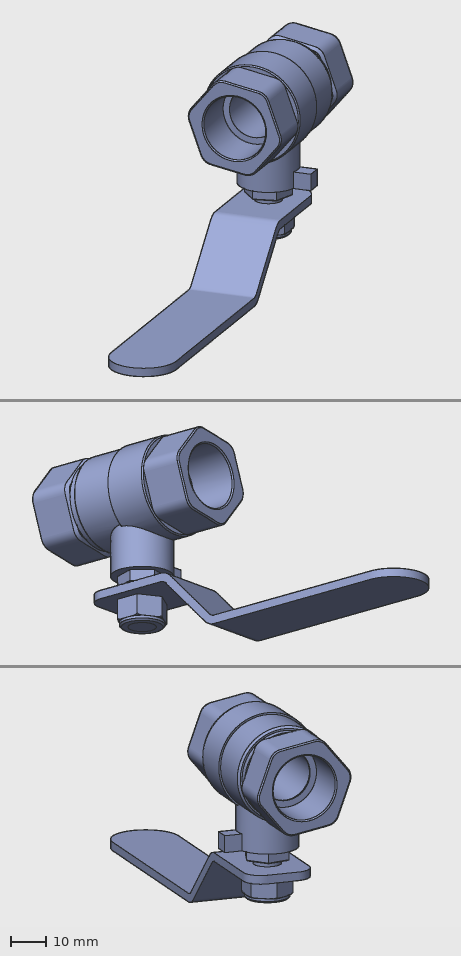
import cadquery as cq
import math


OVERALL_LENGTH = 134.2
EDGE_CHAMFER = 0.4

PORT_DIAMETER = 18.9
PORT_DEPTH = 15.0
BORE_DIAMETER = 15.0

HEX_ACROSS_FLATS = 26.0
HEX_CORNER_RADIUS = 4.0
HEX_TILT = 9.8
CAP_HEX_INNER_CHAMFER = 1.0

CAP_END_Y = 29.2
CAP_HEX_INNER_Y = 15.8
JOINT_Y = 13.7
FLANGE_FRONT_Y = -13.0
BODY_FRONT_Y = -26.0

CAP_NECK_DIAMETER = 26.0
BARREL_DIAMETER = 28.5
BARREL_REAR_CHAMFER = 0.7
FLANGE_DIAMETER = 29.5

BOSS_DIAMETER = 18.0
BOSS_BOTTOM_Z = -24.4
LUG_REACH = 14.0
LUG_SIZE = 5.0

GLAND_ACROSS_FLATS = 12.1
GLAND_HEIGHT = 3.5
GLAND_TILT = 11.5
GLAND_CHAMFER = 0.3

STEM_DIAMETER = 8.0
STEM_TOP_Z = -12.1

LEVER_TOP_Z = -29.5
LEVER_THICKNESS = 2.5
LEVER_WIDTH = 20.0
LEVER_REAR_Y = 12.2
LEVER_TIP_Y = CAP_END_Y - OVERALL_LENGTH
LEVER_DROP = 17.0
LEVER_BEND_Y = -17.8
LEVER_BEND_ANGLE = 45.0
LEVER_INNER_BEND_RADIUS = 2.5
LEVER_REAR_CORNER_RADIUS = 5.2

NUT_ACROSS_FLATS = 12.9
NUT_HEX_HEIGHT = 6.2
NUT_CORNER_CHAMFER = 0.4
COLLAR_DIAMETER = 13.0
COLLAR_HEIGHT = 1.3
COLLAR_CHAMFER = 0.5

GLAND_BOTTOM_Z = BOSS_BOTTOM_Z - GLAND_HEIGHT
LEVER_BOTTOM_Z = LEVER_TOP_Z - LEVER_THICKNESS
NUT_HEX_BOTTOM_Z = LEVER_BOTTOM_Z - NUT_HEX_HEIGHT
NUT_BOTTOM_Z = NUT_HEX_BOTTOM_Z - COLLAR_HEIGHT


def across_corners(across_flats):
    return across_flats / math.cos(math.radians(30))


def cylinder_y(diameter, start_y, end_y):
    """Cylinder around the Y axis; start_y is less than end_y."""
    return cq.Workplane("XZ", origin=(0, end_y, 0)).circle(diameter / 2).extrude(end_y - start_y)


def cylinder_z(diameter, bottom_z, top_z):
    """Cylinder around the Z axis."""
    return cq.Workplane("XY", origin=(0, 0, bottom_z)).circle(diameter / 2).extrude(top_z - bottom_z)


def end_hex(start_y, end_y):
    """Round-cornered hexagon along Y, tilted about its own axis."""
    return (
        cq.Workplane("XZ", origin=(0, end_y, 0))
        .polygon(6, across_corners(HEX_ACROSS_FLATS))
        .extrude(end_y - start_y)
        .edges("|Y")
        .fillet(HEX_CORNER_RADIUS)
        .rotate((0, 0, 0), (0, 1, 0), HEX_TILT)
    )


def upright_hex(across_flats, bottom_z, top_z):
    """Hexagon along Z with two corners on the X axis."""
    return (
        cq.Workplane("XY", origin=(0, 0, bottom_z))
        .polygon(6, across_corners(across_flats))
        .extrude(top_z - bottom_z)
    )


def stem_hole(part):
    """Cut the hole that the stem fills."""
    return part.cut(cylinder_z(STEM_DIAMETER, NUT_BOTTOM_Z, STEM_TOP_Z))


def chamfer_port_rim(part, end_face):
    """Chamfer the port opening; the hexagon's own rounded corners have smaller radii."""
    rim = cq.selectors.RadiusNthSelector(-1)
    return part.faces(end_face).edges("%CIRCLE").edges(rim).chamfer(EDGE_CHAMFER)


def make_body():
    barrel = cylinder_y(BARREL_DIAMETER, 0, JOINT_Y).faces(">Y").chamfer(BARREL_REAR_CHAMFER)
    flange = cylinder_y(FLANGE_DIAMETER, FLANGE_FRONT_Y, 0).faces("<Y").chamfer(EDGE_CHAMFER)
    front_hex = end_hex(BODY_FRONT_Y, FLANGE_FRONT_Y).faces("<Y").chamfer(EDGE_CHAMFER)
    boss = cylinder_z(BOSS_DIAMETER, BOSS_BOTTOM_Z, 0)
    lug = cq.Workplane("XY", origin=(0, 0, BOSS_BOTTOM_Z)).box(
        LUG_REACH, LUG_SIZE, LUG_SIZE, centered=(False, True, False)
    )
    body = barrel.union(flange).union(front_hex).union(boss).union(lug)
    body = body.cut(cylinder_y(BORE_DIAMETER, BODY_FRONT_Y, JOINT_Y))
    body = body.cut(cylinder_y(PORT_DIAMETER, BODY_FRONT_Y, BODY_FRONT_Y + PORT_DEPTH))
    return stem_hole(chamfer_port_rim(body, "<Y"))


def make_end_cap():
    neck = cylinder_y(CAP_NECK_DIAMETER, JOINT_Y, CAP_HEX_INNER_Y)
    rear_hex = (
        end_hex(CAP_HEX_INNER_Y, CAP_END_Y)
        .faces("<Y")
        .chamfer(CAP_HEX_INNER_CHAMFER)
        .faces(">Y")
        .chamfer(EDGE_CHAMFER)
    )
    cap = neck.union(rear_hex)
    cap = cap.cut(cylinder_y(BORE_DIAMETER, JOINT_Y, CAP_END_Y))
    cap = cap.cut(cylinder_y(PORT_DIAMETER, CAP_END_Y - PORT_DEPTH, CAP_END_Y))
    return chamfer_port_rim(cap, ">Y")


def make_gland_nut():
    hexagon = (
        upright_hex(GLAND_ACROSS_FLATS, GLAND_BOTTOM_Z, BOSS_BOTTOM_Z)
        .faces("<Z")
        .chamfer(GLAND_CHAMFER)
        .rotate((0, 0, 0), (0, 0, 1), GLAND_TILT)
    )
    return stem_hole(hexagon)


def make_stem():
    return cylinder_z(STEM_DIAMETER, NUT_BOTTOM_Z, STEM_TOP_Z)


def make_lever():
    """Strip with two opposite bends that lower the grip below the nut."""
    slope_run = LEVER_DROP / math.tan(math.radians(LEVER_BEND_ANGLE))
    miter_shift = LEVER_THICKNESS * math.tan(math.radians(LEVER_BEND_ANGLE / 2))
    outer_bend_radius = LEVER_INNER_BEND_RADIUS + LEVER_THICKNESS
    grip_bend_y = LEVER_BEND_Y - slope_run
    grip_top_z = LEVER_TOP_Z - LEVER_DROP
    grip_bottom_z = grip_top_z - LEVER_THICKNESS

    upper_outer = (LEVER_BEND_Y, LEVER_TOP_Z)
    upper_inner = (LEVER_BEND_Y + miter_shift, LEVER_BOTTOM_Z)
    lower_inner = (grip_bend_y, grip_top_z)
    lower_outer = (grip_bend_y + miter_shift, grip_bottom_z)

    def round_bend(strip, corner, radius):
        near = cq.selectors.NearestToPointSelector((0, *corner))
        return strip.edges("|X").edges(near).fillet(radius)

    strip = (
        cq.Workplane("YZ")
        .polyline(
            [
                (LEVER_REAR_Y, LEVER_TOP_Z),
                upper_outer,
                lower_inner,
                (LEVER_TIP_Y, grip_top_z),
                (LEVER_TIP_Y, grip_bottom_z),
                lower_outer,
                upper_inner,
                (LEVER_REAR_Y, LEVER_BOTTOM_Z),
            ]
        )
        .close()
        .extrude(LEVER_WIDTH / 2, both=True)
    )
    for corner in (upper_outer, lower_outer):
        strip = round_bend(strip, corner, outer_bend_radius)
    for corner in (upper_inner, lower_inner):
        strip = round_bend(strip, corner, LEVER_INNER_BEND_RADIUS)

    outline_height = LEVER_TOP_Z - grip_bottom_z
    tip_center_y = LEVER_TIP_Y + LEVER_WIDTH / 2
    outline = (
        cq.Workplane("XY", origin=(0, 0, grip_bottom_z))
        .moveTo(LEVER_WIDTH / 2, LEVER_REAR_Y)
        .lineTo(LEVER_WIDTH / 2, tip_center_y)
        .threePointArc((0, LEVER_TIP_Y), (-LEVER_WIDTH / 2, tip_center_y))
        .lineTo(-LEVER_WIDTH / 2, LEVER_REAR_Y)
        .close()
        .extrude(outline_height)
        .edges("|Z and >Y")
        .fillet(LEVER_REAR_CORNER_RADIUS)
    )
    return stem_hole(strip.intersect(outline))


def make_lever_nut():
    """Hexagon with its lower corners beveled, with a chamfered round collar below it."""
    corner_cutter = (
        cylinder_z(across_corners(NUT_ACROSS_FLATS), NUT_HEX_BOTTOM_Z, LEVER_BOTTOM_Z)
        .faces("<Z")
        .chamfer(NUT_CORNER_CHAMFER)
    )
    hexagon = (
        upright_hex(NUT_ACROSS_FLATS, NUT_HEX_BOTTOM_Z, LEVER_BOTTOM_Z)
        .rotate((0, 0, 0), (0, 0, 1), 90)
        .intersect(corner_cutter)
    )
    collar = cylinder_z(COLLAR_DIAMETER, NUT_BOTTOM_Z, NUT_HEX_BOTTOM_Z).faces("<Z").chamfer(COLLAR_CHAMFER)
    return stem_hole(hexagon.union(collar))


body = make_body()
end_cap = make_end_cap()
gland_nut = make_gland_nut()
stem = make_stem()
lever = make_lever()
lever_nut = make_lever_nut()

result = cq.Compound.makeCompound(
    [body.val(), end_cap.val(), gland_nut.val(), stem.val(), lever.val(), lever_nut.val()]
)